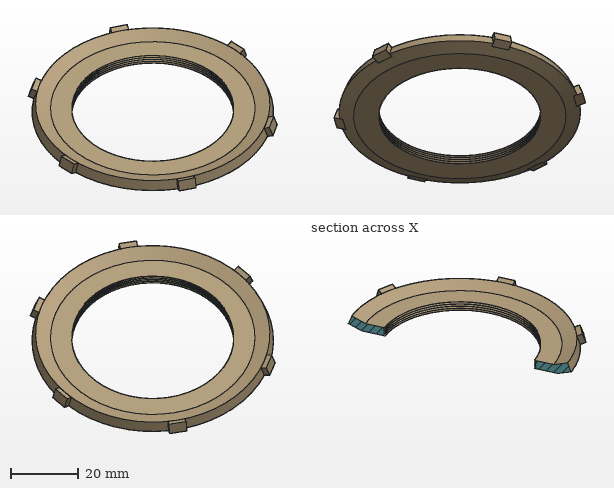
import cadquery as cq
import math

span = 74.85
bore_radius = 24.0
base_radius = 31.5
rim_radius = 35.85
floor_thickness = 3.0
tilt = 20.0
slope = math.tan(math.radians(tilt))

flange_thickness = 3.2
edge_run = flange_thickness * math.sin(math.radians(tilt))
edge_rise = flange_thickness * math.cos(math.radians(tilt))
rim_height = (rim_radius - base_radius) * slope
top_radius = rim_radius - edge_run
top_height = rim_height + edge_rise
floor_radius = top_radius - (top_height - floor_thickness) / slope

tab_count = 6
tab_width = 5.25
tab_root_inset = 1.1
tab_reach = span / 2 - rim_radius

groove_count = 4
groove_depth = 0.45
groove_pitch = floor_thickness / groove_count


def make_ring():
    profile = [
        (bore_radius, 0),
        (base_radius, 0),
        (rim_radius, rim_height),
        (top_radius, top_height),
        (floor_radius, floor_thickness),
        (bore_radius, floor_thickness),
    ]
    return cq.Workplane("XZ").polyline(profile).close().revolve(360, (0, 0), (0, 1))


def make_tab(angle):
    """Flat tab, square-ended and parallel to the flange slope."""
    def along_slope(radius, height, distance):
        return (radius + distance, height + distance * slope)

    profile = [
        along_slope(rim_radius, rim_height, -tab_root_inset),
        along_slope(rim_radius, rim_height, tab_reach),
        along_slope(top_radius, top_height, tab_reach),
        along_slope(top_radius, top_height, -tab_root_inset),
    ]
    tab = cq.Workplane("XZ").polyline(profile).close().extrude(tab_width / 2, both=True)
    return tab.rotate((0, 0, 0), (0, 0, 1), angle)


def make_groove(bottom):
    """V-shaped ring one pitch tall, opening into the bore."""
    profile = [
        (bore_radius, bottom),
        (bore_radius + groove_depth, bottom + groove_pitch / 2),
        (bore_radius, bottom + groove_pitch),
    ]
    return cq.Workplane("XZ").polyline(profile).close().revolve(360, (0, 0), (0, 1))


result = make_ring()
for index in range(tab_count):
    result = result.union(make_tab(index * 360 / tab_count))
for index in range(groove_count):
    result = result.cut(make_groove(index * groove_pitch))